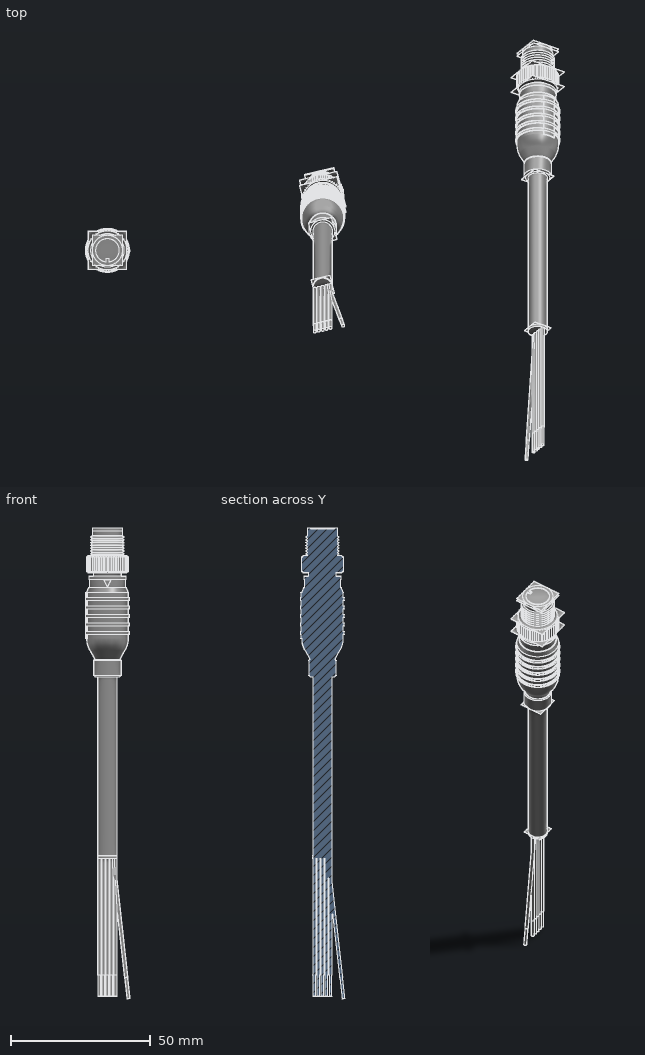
import cadquery as cq
import math


total_length = 168.35
grip_reach = 7.88
wire_reach = 8.11

shell_radius = 5.40
shell_plate_depth = 1.10
recess_radius = 4.20
recess_depth = 0.30
key_width = 1.0
key_length = 1.3
thread_radius = 6.00
thread_top = 2.8
thread_pitch = 1.0
thread_count = 7
thread_bottom = thread_top + thread_pitch * thread_count

nut_gap = 0.1
nut_top = thread_bottom + nut_gap
nut_length = 6.2
nut_radius = 7.55
nut_chamfer = 0.65
knurl_count = 48
knurl_depth = 0.35
nut_bottom = nut_top + nut_length

neck_radius = 5.0
collar_top = 17.3
collar_radius = 6.50
collar_rim_width = 1.1
collar_rim_height = 0.15
collar_bottom = 21.4
body_radius = 7.50
shoulder_radius = 6.75
shoulder_bottom = 23.1
body_bottom = 39.6
waist_top = 43.8
waist_radius = 6.3
waist_bottom = 47.0
tail_neck_radius = 4.55
rib_count = 5
rib_pitch = 3.04
rib_width = 1.0
first_rib = 25.4
pad_width = 4.6
pad_recess = 0.06
pad_radius = grip_reach - pad_recess

arrow_width = 2.6
arrow_top = 18.6
arrow_length = 2.6
arrow_height = 0.3

tail_radius = 4.95
tail_top_chamfer = 0.5
tail_bottom = 53.4
tail_chamfer = 0.7
cable_radius = 3.48
cable_bottom = 118.2

wire_diameter = 1.25
core_diameter = 1.10
wire_count = 5
wire_pitch = 1.44
wire_offset_y = -0.15
insulation_bottom = 159.8
core_bottom = 167.5
splay_start = 2.0

plate_thickness = 0.06
shell_plate = 2 * shell_radius
nut_plate = 2 * (nut_radius - nut_chamfer)
tail_plate = 2 * (tail_radius - tail_chamfer)
cable_plate = 2 * cable_radius
cable_plate_setback = 1.0


def cylinder(radius, top, bottom):
    """Round bar on the plug axis between two distances from the mating end."""
    return cq.Workplane("XY", origin=(0, 0, -bottom)).circle(radius).extrude(bottom - top)


def square_plate(side, depth):
    """Thin square plate across the axis, its upper face at the given depth."""
    plane = cq.Workplane("XY", origin=(0, 0, -depth))
    return plane.rect(side, side).extrude(-plate_thickness)


def make_shell():
    """Plug shell with a shallow keyed recess and a square plate at its mating end."""
    shell = cylinder(shell_radius, 0, nut_top + nut_length / 2)
    recess = cylinder(recess_radius, 0, recess_depth)
    key = cq.Workplane("XY", origin=(0, -recess_radius, -recess_depth))
    key = key.rect(key_width, 2 * key_length).extrude(recess_depth)
    return shell.union(square_plate(shell_plate, 0)).cut(recess.cut(key))


def make_thread():
    """Thread simplified to a row of pointed rings."""
    outline = cq.Workplane("XZ").moveTo(0, -thread_top).lineTo(shell_radius, -thread_top)
    for turn in range(thread_count):
        start = thread_top + turn * thread_pitch
        outline = outline.lineTo(thread_radius, -(start + thread_pitch / 2))
        outline = outline.lineTo(shell_radius, -(start + thread_pitch))
    return outline.lineTo(0, -thread_bottom).close().revolve(360, (0, 0, 0), (0, 1, 0))


def make_nut():
    """Coupling nut with straight knurling and chamfered ends."""
    points = []
    for step in range(2 * knurl_count):
        radius = nut_radius - knurl_depth * (step % 2)
        angle = math.pi * step / knurl_count
        points.append((radius * math.cos(angle), radius * math.sin(angle)))
    knurled = cq.Workplane("XY", origin=(0, 0, -nut_bottom)).polyline(points).close().extrude(nut_length)
    blank = cylinder(nut_radius, nut_top, nut_bottom).edges().chamfer(nut_chamfer)
    return knurled.intersect(blank)


def make_grip():
    """Grip body: collar, shoulder, barrel, curved waist and strain relief tail."""
    outline = (
        cq.Workplane("XZ")
        .moveTo(0, -nut_bottom)
        .lineTo(neck_radius, -nut_bottom)
        .lineTo(neck_radius, -collar_top)
        .lineTo(collar_radius + collar_rim_height, -collar_top)
        .lineTo(collar_radius + collar_rim_height, -(collar_top + collar_rim_width))
        .lineTo(collar_radius, -(collar_top + collar_rim_width))
        .lineTo(collar_radius, -collar_bottom)
        .lineTo(shoulder_radius, -collar_bottom)
        .lineTo(body_radius, -shoulder_bottom)
        .lineTo(body_radius, -body_bottom)
        .tangentArcPoint((waist_radius, -waist_top), relative=False)
        .tangentArcPoint((tail_neck_radius, -waist_bottom), relative=False)
        .lineTo(tail_radius - tail_top_chamfer / 2, -waist_bottom)
        .lineTo(tail_radius, -(waist_bottom + tail_top_chamfer))
        .lineTo(tail_radius, -(tail_bottom - tail_chamfer))
        .lineTo(tail_radius - tail_chamfer, -tail_bottom)
        .lineTo(0, -tail_bottom)
        .close()
    )
    grip = outline.revolve(360, (0, 0, 0), (0, 1, 0))
    for index in range(rib_count):
        middle = first_rib + index * rib_pitch
        grip = grip.union(cylinder(grip_reach, middle - rib_width / 2, middle + rib_width / 2))
    return grip.union(make_side_pad()).union(make_arrow())


def make_side_pad():
    """Pad on the -X side that fills the gaps between the ribs."""
    length = body_bottom - shoulder_bottom
    pad = cq.Workplane("XY", origin=(-pad_radius / 2, 0, -body_bottom))
    pad = pad.rect(pad_radius, pad_width).extrude(length)
    return pad.intersect(cylinder(pad_radius, shoulder_bottom, body_bottom))


def make_arrow():
    """Raised triangle on the -Y side of the collar, pointing at the cable."""
    half = arrow_width / 2
    arrow = cq.Workplane("XZ").moveTo(-half, -arrow_top).lineTo(half, -arrow_top)
    arrow = arrow.lineTo(0, -(arrow_top + arrow_length)).close()
    return arrow.extrude(collar_radius + arrow_height)


def make_wire(length, stripped):
    """Insulated wire hanging from the origin with a bare core at its end."""
    core = cq.Workplane("XY").circle(core_diameter / 2).extrude(-length)
    insulation = cq.Workplane("XY").circle(wire_diameter / 2).extrude(stripped - length)
    return insulation.union(core)


def add_wires(part):
    """Straight wires side by side and one wire splayed towards +X."""
    straight = make_wire(core_bottom - cable_bottom, core_bottom - insulation_bottom)
    for index in range(wire_count):
        position = (index - (wire_count - 1) / 2) * wire_pitch
        part = part.union(straight.translate((position, wire_offset_y, -cable_bottom)))
    return part.union(make_splayed_wire())


def make_splayed_wire():
    """Wire leaving the cable at an angle and ending at the part's full length."""
    core_radius = core_diameter / 2
    slope = math.atan2(wire_reach - core_radius - splay_start, total_length - cable_bottom)
    drop = total_length - cable_bottom - core_radius * math.sin(slope)
    wire = make_wire(drop / math.cos(slope), core_bottom - insulation_bottom)
    wire = wire.rotate((0, 0, 0), (0, 1, 0), -math.degrees(slope))
    return wire.translate((splay_start, wire_offset_y, -cable_bottom))


def add_plates(part):
    """Square plates on the shell, nut ends, tail end and cable end."""
    plates = (
        (shell_plate, shell_plate_depth),
        (nut_plate, nut_top),
        (nut_plate, nut_bottom - plate_thickness),
        (tail_plate, tail_bottom - plate_thickness),
        (cable_plate, cable_bottom - cable_plate_setback),
    )
    for side, depth in plates:
        part = part.union(square_plate(side, depth))
    return part


result = make_shell().union(make_thread()).union(make_nut()).union(make_grip())
result = result.union(cylinder(cable_radius, tail_bottom, cable_bottom))
result = add_wires(result)
result = add_plates(result)